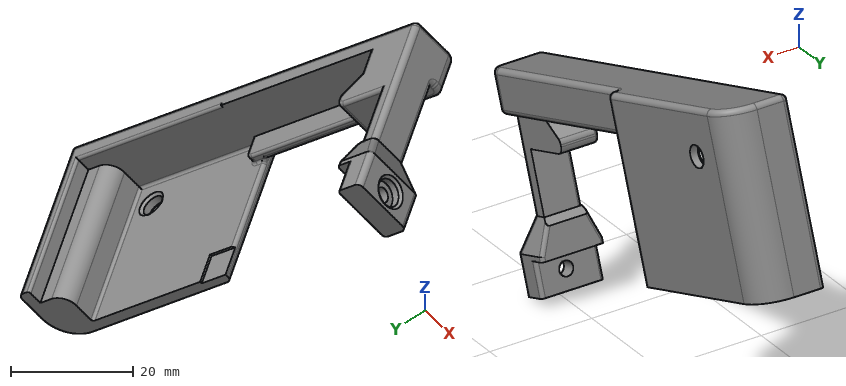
import cadquery as cq

TILT = 20
OVERCUT = 4.2

left_face = 2.3
wide_right = 14.5
beam_right = 12.7
leg_right = 9.65
wall = 2.0
plate_inside = wide_right - wall

length = 77.5
wide_start = 40.2
side_wall_overlap = 2.7
wall_end = wide_start + side_wall_overlap
end_plate = 9.4
arm = 3.0
back_wall = 2.35
cavity_back = length - back_wall

lid = 3.5
beam_depth = 8.05
wide_depth = 33.1
arm_depth = 26.2
hook_depth = 14.5

edge_round = 1.0
inner_round = 0.7
small_round = 0.5
back_corner_round = 6.0
end_corner_round = 2.0
hole_chamfer = 0.5
CHAMFER_ANGLE = 45

hook_tip = 13.1
hook_start_depth = 8.55
hook_slope_depth = hook_start_depth + hook_tip - end_plate
hook_tip_round = 1.35

pillar_setback = 3.0
pillar_front = 69.7
pillar_round = 3.0

relief_length = 5.4
relief_height = 6.0
relief_depth = 0.4

plate_hole_y = 65.5
plate_hole_depth = 8.5
plate_hole_d = 4.0

foot_left = 0
foot_right = 12.25
foot_front = -3.3
foot_stem_back = 1.6
foot_ledge_back = 4.0
flare_back = 7.5
flare_depth = 32.2
ledge_depth = 33.1
foot_depth = 39.6

screw_x = 6.6
screw_depth = (flare_depth + foot_depth) / 2
screw_d = 2.7
counterbore_d = 4.9
counterbore_depth = 1.85


def box(x0, x1, y0, y1, depth0, depth1):
    """Block between two corners; depths are measured downwards from the top."""
    size = (x1 - x0, y1 - y0, depth1 - depth0)
    return cq.Workplane("XY").box(*size, centered=False).translate((x0, y0, -depth1))


def edges_near(solid, *points):
    """The edges of a solid that lie closest to the given points."""
    picked = solid.edges(cq.NearestToPointSelector(points[0]))
    for point in points[1:]:
        picked = picked.add(solid.edges(cq.NearestToPointSelector(point)))
    return picked


def make_leg():
    """End plate, hook and arm as one profile, reaching up to the top of the part."""
    outline = [
        (0, 0),
        (end_plate, 0),
        (end_plate, -hook_start_depth),
        (hook_tip, -hook_slope_depth),
        (hook_tip, -hook_depth),
        (arm, -hook_depth),
        (arm, -arm_depth),
        (0, -arm_depth),
    ]
    leg = cq.Workplane("YZ", origin=(left_face, 0, 0)).polyline(outline).close()
    leg = leg.extrude(leg_right - left_face)
    return leg.edges("|X").edges(">Y").fillet(hook_tip_round)


def make_shell():
    """Solid outside of the lid, beam, wide cover and arm, with its outer edges rounded."""
    mid_wide = (wide_start + length) / 2
    mid_arm_depth = (beam_depth + arm_depth) / 2

    beam = box(left_face, beam_right, 0, wide_start + OVERCUT, 0, beam_depth)
    beam = edges_near(beam, (beam_right, 0, -beam_depth / 2)).fillet(end_corner_round)
    beam = beam.union(make_leg())
    beam = edges_near(beam, (leg_right, end_plate / 2, -beam_depth)).fillet(small_round)
    beam = edges_near(beam, (leg_right, 0, -mid_arm_depth)).fillet(edge_round)

    wide = box(left_face, wide_right, wide_start, length, 0, wide_depth)
    wide = edges_near(wide, (wide_right, length, -wide_depth / 2)).fillet(back_corner_round)
    wide = edges_near(wide, (wide_right, wide_start, -wide_depth / 2)).fillet(edge_round)

    shell = beam.union(wide)
    shell = edges_near(shell, (beam_right, wide_start, -lid)).fillet(small_round)
    return edges_near(
        shell,
        (wide_right, mid_wide, 0),
        (left_face, length / 2, 0),
        (left_face, length, -wide_depth / 2),
        (left_face, 0, -arm_depth / 2),
    ).fillet(edge_round)


def make_beam_core():
    """Beam as it meets the wide cover, running a little way onto the side plate."""
    core = box(-OVERCUT, beam_right, end_plate, wall_end, 0, beam_depth)
    return core.edges("|X").edges(">Y").edges("<Z").fillet(edge_round)


def make_pillar():
    """Upright pillar filling the back corner, rounded towards the side plate."""
    pillar_left = left_face + pillar_setback
    pillar_bottom = wide_depth + OVERCUT
    pillar = box(pillar_left, plate_inside, pillar_front, length, 0, pillar_bottom)
    return edges_near(pillar, (pillar_left, pillar_front, -pillar_bottom / 2)).fillet(pillar_round)


def make_wide_space():
    """Space inside the wide cover, open to the left and bottom, rounded where it meets the side plate."""
    space_bottom = wide_depth + OVERCUT
    space = box(-OVERCUT, plate_inside, wide_start - OVERCUT, cavity_back, lid, space_bottom)
    space = space.cut(make_pillar()).cut(make_beam_core())
    return space.faces(">X").edges().fillet(small_round)


def hollow_out(shell):
    """Hollow the wide cover and the beam and round the rims of the openings."""
    wall_left = beam_right - wall
    mid_opening = (wall_end + cavity_back) / 2

    part = shell.cut(make_wide_space())
    part = edges_near(
        part,
        (left_face, mid_opening, -lid),
        (left_face, cavity_back, -(lid + wide_depth) / 2),
    ).fillet(small_round)
    part = part.cut(box(-OVERCUT, wall_left, end_plate, wall_end + small_round, lid, beam_depth))

    return edges_near(
        part,
        (wall_left, wall_end, -(lid + beam_depth) / 2),
        (wall_left, (end_plate + wall_end) / 2, -beam_depth),
    ).fillet(small_round)


def round_leg(part):
    """Round the inner left edge of the end plate, hook and arm, and the free edge of the side plate."""
    part = edges_near(
        part,
        (left_face, end_plate, -(lid + hook_start_depth) / 2),
        (left_face, (end_plate + hook_tip) / 2, -(hook_start_depth + hook_slope_depth) / 2),
        (left_face, (arm + hook_tip) / 2, -hook_depth),
        (left_face, arm, -(hook_depth + arm_depth) / 2),
    ).fillet(inner_round)
    return edges_near(part, (plate_inside, wide_start, -(beam_depth + wide_depth) / 2)).fillet(inner_round)


def cut_plate_details(part):
    """Chamfered hole and lower corner relief in the side plate."""
    mouth = cq.Workplane("YZ", origin=(plate_inside, plate_hole_y, -plate_hole_depth))
    hole = mouth.circle(plate_hole_d / 2).extrude(wall + OVERCUT)
    chamfer = mouth.circle(plate_hole_d / 2 + hole_chamfer).extrude(hole_chamfer, taper=CHAMFER_ANGLE)
    relief = box(
        plate_inside - OVERCUT,
        plate_inside + relief_depth,
        wide_start - OVERCUT,
        wide_start + relief_length,
        wide_depth - relief_height,
        wide_depth + OVERCUT,
    )
    return part.cut(hole).cut(chamfer).cut(relief)


def rectangle_at(depth, x0, x1, y0, y1):
    """Closed rectangular wire lying at the given depth."""
    corners = [(x0, y0, -depth), (x1, y0, -depth), (x1, y1, -depth), (x0, y1, -depth)]
    return cq.Wire.makePolygon([cq.Vector(*corner) for corner in corners], close=True)


def make_foot():
    """Foot that flares out from the arm, with a stepped back and a counterbored screw hole."""
    arm_end = rectangle_at(arm_depth, left_face, leg_right, 0, arm)
    flare_end = rectangle_at(flare_depth, foot_left, foot_right, foot_front, flare_back)
    flare = cq.Workplane(cq.Solid.makeLoft([arm_end, flare_end], True))
    flare = flare.intersect(
        box(foot_left, foot_right, foot_front, foot_ledge_back, arm_depth, flare_depth)
    )
    ledge = box(foot_left, foot_right, foot_front, foot_ledge_back, flare_depth, ledge_depth)
    stem = box(foot_left, foot_right, foot_front, foot_stem_back, flare_depth, foot_depth)
    foot = flare.union(ledge).union(stem)

    flare_mid = (arm_depth + flare_depth) / 2
    stem_mid = (flare_depth + foot_depth) / 2
    ledge_mid = (flare_depth + ledge_depth) / 2
    for side, arm_side in ((foot_left, left_face), (foot_right, leg_right)):
        foot = edges_near(
            foot,
            (side, foot_front, -stem_mid),
            ((side + arm_side) / 2, foot_front / 2, -flare_mid),
        ).fillet(edge_round)
        foot = edges_near(
            foot,
            (side, foot_stem_back, -(ledge_depth + foot_depth) / 2),
            (side, foot_ledge_back, -ledge_mid),
            ((side + arm_side) / 2, foot_ledge_back, -flare_mid),
        ).fillet(inner_round)

    return foot.cut(make_screw_hole())


def make_screw_hole():
    """Cutter for the counterbored screw hole, with a chamfered mouth."""
    mouth = cq.Workplane("XZ", origin=(screw_x, foot_front, -screw_depth))
    through = mouth.circle(screw_d / 2).extrude(foot_front - foot_stem_back)
    counterbore = mouth.circle(counterbore_d / 2).extrude(-counterbore_depth)
    chamfer = mouth.circle(counterbore_d / 2 + hole_chamfer)
    chamfer = chamfer.extrude(-hole_chamfer, taper=CHAMFER_ANGLE)
    return through.union(counterbore).union(chamfer)


part = hollow_out(make_shell())
part = round_leg(part)
part = cut_plate_details(part)
part = part.union(make_foot())
result = part.rotate((0, 0, 0), (1, 0, 0), TILT)